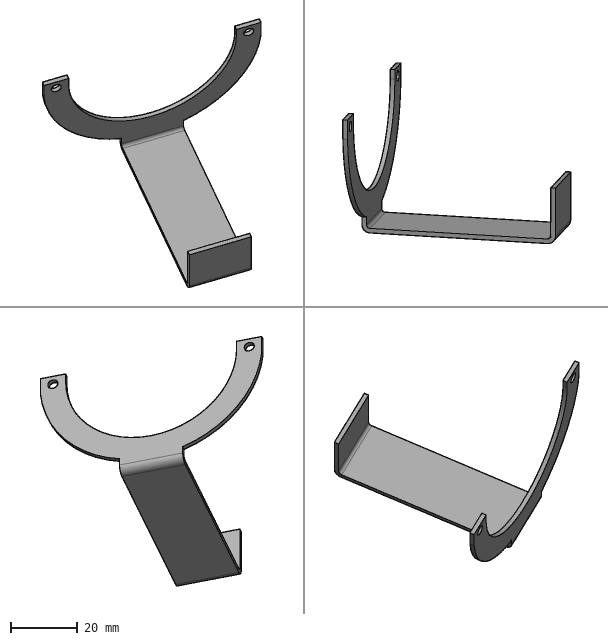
import cadquery as cq

length = 60.0
height = 41.5
ring_width = 69.9
ring_outer_radius = 35.0
ring_inner_radius = 27.0
ring_center_drop = 3.0
tip_side_height = 6.0
strip_width = 20.0
hook_height = 17.5
thickness = 1.5
bend_inner_radius = 1.05
hole_diameter = 3.15

ring_center_z = height - ring_center_drop
bend_outer_radius = bend_inner_radius + thickness
ring_middle_radius = (ring_outer_radius + ring_inner_radius) / 2


def half_ring():
    """Flat C-shaped plate, open upwards, with level tips and short straight sides."""
    outer_y = ring_width / 2
    side_end_z = height - tip_side_height
    return (
        cq.Workplane("YZ")
        .moveTo(-outer_y, height)
        .lineTo(-outer_y, side_end_z)
        .threePointArc((0, ring_center_z - ring_outer_radius), (outer_y, side_end_z))
        .lineTo(outer_y, height)
        .lineTo(ring_inner_radius, height)
        .lineTo(ring_inner_radius, ring_center_z)
        .threePointArc((0, ring_center_z - ring_inner_radius), (-ring_inner_radius, ring_center_z))
        .lineTo(-ring_inner_radius, height)
        .close()
        .extrude(thickness)
    )


def bent_strip():
    """U-shaped strip with rounded bends, rising into the ring at X = 0."""
    ring_overlap_z = ring_center_z - ring_middle_radius
    strip = (
        cq.Workplane("XZ")
        .moveTo(0, 0)
        .lineTo(length, 0)
        .lineTo(length, hook_height)
        .lineTo(length - thickness, hook_height)
        .lineTo(length - thickness, thickness)
        .lineTo(thickness, thickness)
        .lineTo(thickness, ring_overlap_z)
        .lineTo(0, ring_overlap_z)
        .close()
        .extrude(strip_width / 2, both=True)
    )
    strip = strip.faces("<Z").edges("|Y").fillet(bend_outer_radius)
    inner_corners = strip.faces(cq.selectors.NearestToPointSelector((length / 2, 0, thickness))).edges("|Y")
    return inner_corners.fillet(bend_inner_radius)


def tip_holes():
    """Cutters for the hole in each ring tip, level with the ring centre."""
    return (
        cq.Workplane("YZ")
        .pushPoints([(side * ring_middle_radius, ring_center_z) for side in (-1, 1)])
        .circle(hole_diameter / 2)
        .extrude(thickness)
    )


result = half_ring().union(bent_strip()).cut(tip_holes())